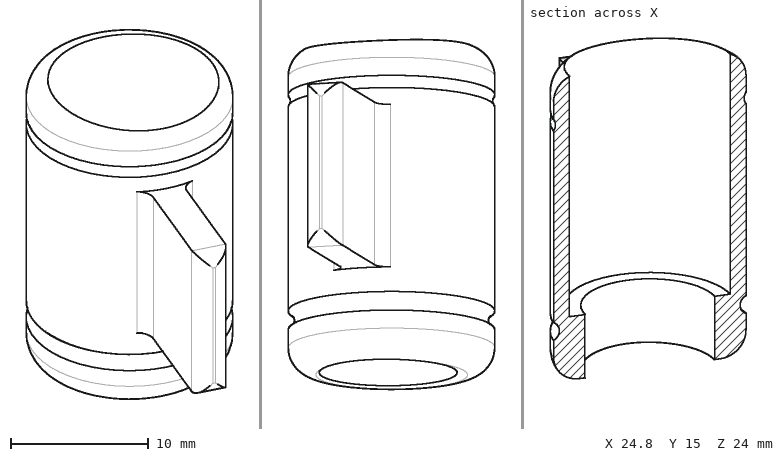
import cadquery as cq
import math

BODY_DIAMETER = 15.0
BODY_HEIGHT = 24.0
BODY_EDGE_RADIUS = 2.0
BODY_RADIUS = BODY_DIAMETER / 2

BORE_OFFSET = 0.8
THROUGH_HOLE_DIAMETER = 10.0
POCKET_DIAMETER = 12.4
POCKET_FLOOR_Z = 5.0

GROOVE_SECTION_RADIUS = 0.75
LOWER_GROOVE_Z = 4.0
LOWER_GROOVE_DEPTH = 0.45
UPPER_GROOVE_Z = 20.2
UPPER_GROOVE_DEPTH = 0.15

TAB_TIP_X = 17.3
TAB_THICKNESS = 2.6
TAB_HEIGHT = 12.0
TAB_BOTTOM_Z = 6.5
TAB_SIDE_RADIUS = 1.2
TAB_END_RADIUS = 1.1
TAB_ROOT_RADIUS = 1.2

PICK_MARGIN = 0.1


def make_body():
    cylinder = cq.Workplane("XY").circle(BODY_RADIUS).extrude(BODY_HEIGHT)
    return cylinder.edges("%CIRCLE").fillet(BODY_EDGE_RADIUS)


def make_tab_plate():
    """Square-edged plate from the body axis to the tab tip."""
    plate = cq.Workplane("XY").box(
        TAB_TIP_X, TAB_THICKNESS, TAB_HEIGHT, centered=(False, True, False)
    )
    return plate.translate((0, 0, TAB_BOTTOM_Z))


def make_tab():
    """Overlap of two rounded plates, so that the tip roundings meet in mitred corners."""
    rounded_sides = make_tab_plate().edges(">X and |Z").fillet(TAB_SIDE_RADIUS)
    rounded_ends = make_tab_plate().edges(">X and |Y").fillet(TAB_END_RADIUS)
    return rounded_sides.intersect(rounded_ends)


def round_tab_root(part):
    """Blend the two upright corners where the tab sides meet the body wall."""
    half_thickness = TAB_THICKNESS / 2
    root_x = math.sqrt(BODY_RADIUS**2 - half_thickness**2)
    root_z = TAB_BOTTOM_Z + TAB_HEIGHT / 2
    picker = cq.selectors.BoxSelector(
        (root_x - PICK_MARGIN, -half_thickness - PICK_MARGIN, root_z - PICK_MARGIN),
        (root_x + PICK_MARGIN, half_thickness + PICK_MARGIN, root_z + PICK_MARGIN),
    )
    return part.edges(picker).fillet(TAB_ROOT_RADIUS)


def make_groove_cutter(center_z, depth):
    """Torus that sinks into the body wall by the given depth."""
    ring_radius = BODY_RADIUS - depth + GROOVE_SECTION_RADIUS
    torus = cq.Solid.makeTorus(ring_radius, GROOVE_SECTION_RADIUS)
    return cq.Workplane(torus.translate(cq.Vector(0, 0, center_z)))


def make_bore_cutter():
    """Wide pocket open at the top, with a smaller hole through the base."""
    hole = (
        cq.Workplane("XY", origin=(BORE_OFFSET, 0, 0))
        .circle(THROUGH_HOLE_DIAMETER / 2)
        .extrude(BODY_HEIGHT)
    )
    pocket = (
        cq.Workplane("XY", origin=(BORE_OFFSET, 0, POCKET_FLOOR_Z))
        .circle(POCKET_DIAMETER / 2)
        .extrude(BODY_HEIGHT - POCKET_FLOOR_Z)
    )
    return hole.union(pocket)


result = round_tab_root(make_body().union(make_tab()))
result = result.cut(make_groove_cutter(LOWER_GROOVE_Z, LOWER_GROOVE_DEPTH))
result = result.cut(make_groove_cutter(UPPER_GROOVE_Z, UPPER_GROOVE_DEPTH))
result = result.cut(make_bore_cutter())